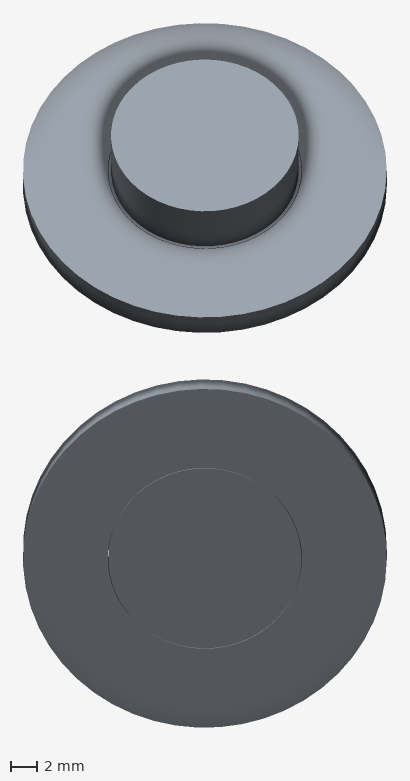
import cadquery as cq

ring_diameter = 27.7
ring_thickness = 2.0
bore_diameter = 14.8

overall_height = 6.5
plug_base_diameter = 14.7
plug_boss_diameter = 14.3
boss_height = overall_height - ring_thickness


def make_ring():
    """Flat round ring, resting on Z = 0."""
    return (
        cq.Workplane("XY")
        .circle(ring_diameter / 2)
        .circle(bore_diameter / 2)
        .extrude(ring_thickness)
    )


def make_plug():
    """Plug whose wider base is flush with the ring and carries a narrower boss."""
    base = cq.Workplane("XY").circle(plug_base_diameter / 2).extrude(ring_thickness)
    return base.faces(">Z").workplane().circle(plug_boss_diameter / 2).extrude(boss_height)


ring = make_ring()
plug = make_plug()

result = cq.Compound.makeCompound([ring.val(), plug.val()])